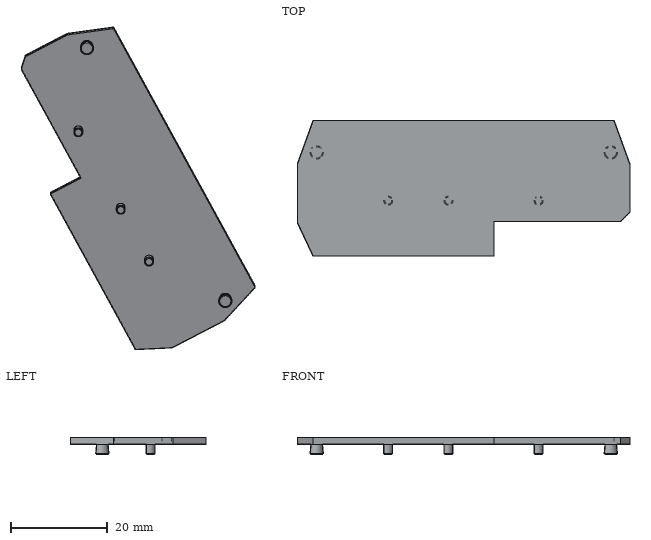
import cadquery as cq

length = 68.6
width = 28.0
plate_thickness = 1.45
total_height = 3.5

left_cut_x = 3.2
front_left_cut_y = 6.85
back_left_cut_y = 8.9
back_right_cut_x = 3.3
back_right_cut_y = 9.05
step_x = 40.55
step_y = 7.15
step_chamfer = 2.0

pin_length = total_height - plate_thickness
tip_chamfer = 0.2
end_pin_root_diameter = 2.4
end_pin_tip_diameter = 2.75
end_pin_inset = 4.0
end_pin_y = 21.4
small_pin_diameter = 1.85
small_pin_y = 11.45
small_pin_xs = (18.7, 31.15, 49.75)


def make_plate():
    outline = [
        (left_cut_x, 0),
        (step_x, 0),
        (step_x, step_y),
        (length - step_chamfer, step_y),
        (length, step_y + step_chamfer),
        (length, width - back_right_cut_y),
        (length - back_right_cut_x, width),
        (left_cut_x, width),
        (0, width - back_left_cut_y),
        (0, front_left_cut_y),
    ]
    return cq.Workplane("XY").polyline(outline).close().extrude(plate_thickness)


def make_pin(x, y, root_diameter, tip_diameter):
    """Round pin hanging from the plate, with a chamfered tip."""
    root_radius = root_diameter / 2
    tip_radius = tip_diameter / 2
    half_profile = [
        (0, 0),
        (root_radius, 0),
        (tip_radius, tip_chamfer - pin_length),
        (tip_radius - tip_chamfer, -pin_length),
        (0, -pin_length),
    ]
    pin = cq.Workplane("XZ").polyline(half_profile).close().revolve(360, (0, 0), (0, 1))
    return pin.translate((x, y, 0))


result = make_plate()

for pin_x in (end_pin_inset, length - end_pin_inset):
    result = result.union(make_pin(pin_x, end_pin_y, end_pin_root_diameter, end_pin_tip_diameter))

for pin_x in small_pin_xs:
    result = result.union(make_pin(pin_x, small_pin_y, small_pin_diameter, small_pin_diameter))